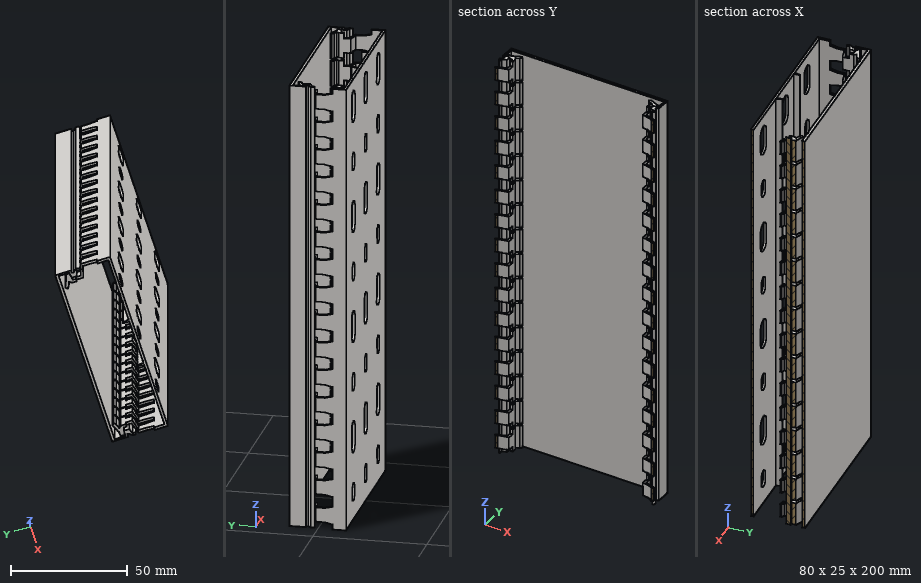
import cadquery as cq
length = 200.0
width = 80.0
depth = 25.0
half_width = width / 2

base_wall = 1.2
wall_top = 13.2
step_top = 14.8
step_underside_bottom = 12.8
step_underside_top = 14.0
finger_outer = half_width - 5.0
finger_inner = finger_outer - base_wall
barb_outer = half_width - 1.8
barb_bottom = 19.0
barb_top = 20.8
barb_slope = 0.5
lip_foot = half_width - 3.5
lip_top = 22.5
lip_tip = half_width - 8.2
lip_bevel = 0.8
fold_bottom = 19.2
fold_top = 20.2

opening_pitch = length / 16
opening_floor = 6.0
opening_floor_width = 4.5
opening_width = 6.0
opening_taper_top = 9.5
opening_end = 17.0
slit_width = 1.2

rib_inner = 9.8
rib_foot_width = 1.0
rib_tip_width = 0.5
rib_top = 4.0

slot_columns = 3
slot_column_pitch = 25.0
slot_rows = 4
slot_row_pitch = length / slot_rows
large_slot_width = 6.5
large_slot_length = 14.0
large_slot_first_row = 0.75 * slot_row_pitch
small_slot_width = 4.5
small_slot_length = 8.0
small_slot_first_row = 0.25 * slot_row_pitch

cover_plate = 1.5
cover_outer = half_width - 0.5
skirt_inner = cover_outer - 0.8
ledge_top = 18.8
ledge_bottom = 17.8
nose_tip = half_width - 3.8
nose_bottom = 16.2
groove_root = half_width - 1.8
groove_width = 0.8
leg_inner = cover_outer - 1.0
leg_top = 15.5
leg_bottom = 14.0
leg_radius = 0.8


def extrude_mirrored(right_half):
    """Extrude a profile, given by the points of its +X half, along the full length."""
    left_half = [(-x, y) for x, y in reversed(right_half)]
    return cq.Workplane("XY").polyline(right_half + left_half).close().extrude(length)


def base_channel():
    return extrude_mirrored([
        (half_width, 0),
        (half_width, wall_top),
        (finger_outer, step_top),
        (finger_outer, barb_bottom - barb_slope),
        (barb_outer, barb_bottom),
        (barb_outer, barb_top),
        (lip_foot, barb_top),
        (lip_tip + lip_bevel, lip_top),
        (lip_tip, lip_top - lip_bevel),
        (lip_tip + lip_bevel, lip_top - 2 * lip_bevel),
        (half_width - 5.5, fold_top),
        (finger_inner, fold_bottom),
        (finger_inner, step_underside_top),
        (half_width - base_wall, step_underside_bottom),
        (half_width - base_wall, base_wall),
        (rib_inner + rib_foot_width, base_wall),
        (rib_inner + rib_tip_width, rib_top),
        (rib_inner, rib_top),
        (rib_inner, base_wall),
    ])


def mounting_slots(slot_width, slot_length, first_row):
    middle_column = (slot_columns - 1) / 2
    centres = [
        ((column - middle_column) * slot_column_pitch, first_row + row * slot_row_pitch)
        for column in range(slot_columns)
        for row in range(slot_rows)
    ]
    slots = cq.Workplane("XZ").pushPoints(centres).slot2D(slot_length, slot_width, 90)
    return slots.extrude(-base_wall)


def cable_opening():
    """Opening that narrows to its floor, with a slit above it, through both walls at Z = 0."""
    upper_half = [
        (opening_floor, opening_floor_width / 2),
        (opening_taper_top, opening_width / 2),
        (opening_end, opening_width / 2),
        (opening_end, slit_width / 2),
        (depth, slit_width / 2),
    ]
    lower_half = [(y, -z) for y, z in reversed(upper_half)]
    outline = cq.Workplane("YZ").polyline(upper_half + lower_half).close()
    return outline.extrude(half_width, both=True)


def make_base():
    base = base_channel()
    base = base.cut(mounting_slots(large_slot_width, large_slot_length, large_slot_first_row))
    base = base.cut(mounting_slots(small_slot_width, small_slot_length, small_slot_first_row))
    opening = cable_opening()
    opening_count = round(length / opening_pitch) + 1
    for index in range(opening_count):
        base = base.cut(opening.translate((0, 0, index * opening_pitch)))
    return base


def make_cover():
    cover = extrude_mirrored([
        (cover_outer, depth),
        (cover_outer, ledge_bottom),
        (groove_root, ledge_bottom),
        (groove_root, ledge_bottom - groove_width),
        (cover_outer, leg_top),
        (cover_outer, leg_bottom),
        (leg_inner, leg_bottom),
        (leg_inner, nose_bottom - 0.8),
        (nose_tip, nose_bottom),
        (nose_tip, ledge_top - 0.5),
        (half_width - 2.5, ledge_top),
        (skirt_inner, ledge_top),
        (skirt_inner, depth - cover_plate),
    ])
    for side in (-1, 1):
        foot = (side * cover_outer, leg_bottom, length / 2)
        cover = cover.edges(cq.selectors.NearestToPointSelector(foot)).fillet(leg_radius)
    return cover


base = make_base()
cover = make_cover()
result = cq.Compound.makeCompound([base.val(), cover.val()])